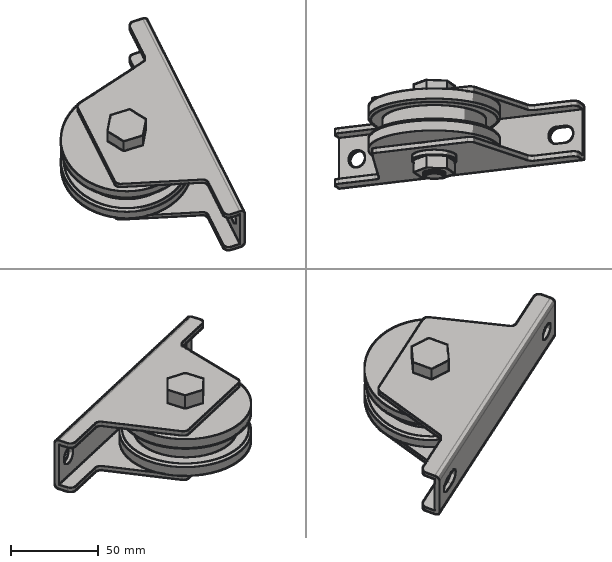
import cadquery as cq
import math


bracket_length = 150.0
bracket_height = 33.0
sheet = 3.0
bend_radius = 3.0
axis_to_back = 42.5
plate_depth = 61.0
flange_depth = 12.0
plate_root_half_width = 46.5
plate_tip_half_width = 30.8
corner_radius = 3.5

hole_diameter = 10.0
hole_x = -64.0
slot_x = 61.5
slot_length = 15.2

wheel_diameter = 75.0
wheel_width = 24.9
groove_diameter = 59.1
groove_width = 9.9
rim_chamfer = 1.5
hub_diameter = 30.0

hex_across_flats = 20.4
head_height = 9.0
washer_diameter = 25.2
washer_thickness = 2.7
nut_height = 7.4
bolt_diameter = 12.6
bolt_protrusion = 2.0
bolt_chamfer = 0.9

half_length = bracket_length / 2
half_height = bracket_height / 2
back_y = axis_to_back
flange_y = back_y - flange_depth
tip_y = back_y - plate_depth


def cylinder(diameter, bottom, height):
    return cq.Workplane("XY").workplane(offset=bottom).circle(diameter / 2).extrude(height)


def hexagon(bottom, height):
    """Hexagonal prism with two corners on the Y axis."""
    across_corners = hex_across_flats / math.cos(math.pi / 6)
    prism = cq.Workplane("XY").polygon(6, across_corners).extrude(height)
    return prism.rotate((0, 0, 0), (0, 0, 1), 30).translate((0, 0, bottom))


def make_bracket():
    plan = (
        cq.Workplane("XY")
        .workplane(offset=-half_height)
        .moveTo(-half_length, back_y)
        .lineTo(-half_length, flange_y)
        .lineTo(-plate_root_half_width, flange_y)
        .lineTo(-plate_tip_half_width, tip_y)
        .lineTo(plate_tip_half_width, tip_y)
        .lineTo(plate_root_half_width, flange_y)
        .lineTo(half_length, flange_y)
        .lineTo(half_length, back_y)
        .close()
        .extrude(bracket_height)
    )
    rounded = plan.edges("|Z").edges("not >Y").fillet(corner_radius)
    bent = rounded.edges(">Y and |X").fillet(bend_radius)

    gap = cq.Workplane("XY").box(
        bracket_length, plate_depth, bracket_height - 2 * sheet
    ).translate((0, back_y - sheet - plate_depth / 2, 0))

    web = cq.Workplane("XZ", origin=(0, back_y, 0))
    hole = web.center(hole_x, 0).circle(hole_diameter / 2).extrude(sheet)
    slot = web.center(slot_x, 0).slot2D(slot_length, hole_diameter).extrude(sheet)
    return bent.cut(gap).cut(hole).cut(slot)


def make_wheel():
    rim_width = (wheel_width - groove_width) / 2
    lower_rim = cylinder(wheel_diameter, -wheel_width / 2, rim_width)
    lower_rim = lower_rim.faces(">Z").edges().chamfer(rim_chamfer)
    upper_rim = lower_rim.mirror("XY")
    core = cylinder(groove_diameter, -wheel_width / 2, wheel_width)

    hub_width = bracket_height - 2 * sheet
    hub = cylinder(hub_diameter, -hub_width / 2, hub_width)
    return core.union(lower_rim).union(upper_rim).union(hub)


def make_fastener():
    washer_bottom = -half_height - washer_thickness
    nut_bottom = washer_bottom - nut_height
    bolt_bottom = nut_bottom - bolt_protrusion

    head = hexagon(half_height, head_height)
    washer = cylinder(washer_diameter, washer_bottom, washer_thickness)
    nut = hexagon(nut_bottom, nut_height)
    shank = cylinder(bolt_diameter, bolt_bottom, half_height - bolt_bottom)
    shank = shank.faces("<Z").edges().chamfer(bolt_chamfer)
    return shank.union(head).union(washer).union(nut)


result = make_bracket().union(make_wheel()).union(make_fastener())